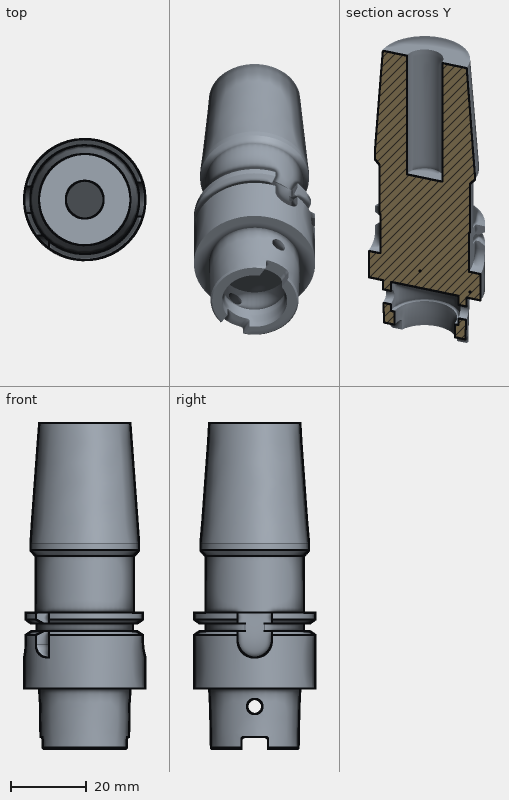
import cadquery as cq

total_height = 86.0
overshoot = 0.9

shank_end_radius = 11.6
shank_top_radius = 12.0
shank_chamfer = 0.4
body_radius = 16.0
body_bottom = 16.0
body_edge = 30.1
groove_bottom = 31.1
groove_top = 33.1
rim_edge = 34.2
rim_top = 36.0
neck_radius = 13.0
neck_top = 50.9
head_radius = 14.4
head_band_bottom = 52.5
head_band_top = 54.2
nose_radius = 12.0
groove_lip_inset = 1.55
groove_lip_radius = body_radius - groove_lip_inset

tool_bore_diameter = 10.0
tool_bore_depth = 36.1
socket_radius = 8.6
socket_depth = body_bottom
undercut_radius = 9.6
undercut_bottom = 7.3
cross_hole_diameter = 3.95
cross_hole_height = 11.3

key_width = 7.0
wide_key_width = 9.0
key_bottom = 24.2
key_floor = 12.7
corner_notch_floor = 9.5
drive_slot_height = 3.2
drive_slot_fillet = 0.7


def turned_body():
    """Revolved outline: shank, grooved flange, neck and tapered nose."""
    outline = [
        (0, 0),
        (shank_end_radius - shank_chamfer, 0),
        (shank_end_radius, shank_chamfer),
        (shank_top_radius, body_bottom),
        (body_radius, body_bottom),
        (body_radius, body_edge),
        (groove_lip_radius, groove_bottom),
        (neck_radius, groove_bottom),
        (neck_radius, groove_top),
        (groove_lip_radius, groove_top),
        (body_radius, rim_edge),
        (body_radius, rim_top),
        (neck_radius, rim_top),
        (neck_radius, neck_top),
        (head_radius, head_band_bottom),
        (head_radius, head_band_top),
        (nose_radius, total_height),
        (0, total_height),
    ]
    return cq.Workplane("XZ").polyline(outline).close().revolve(360, (0, 0), (0, 1))


def keyway(side, width, center_y, floor):
    """Round-ended slot, open at the rim top, cut in from the -X (-1) or +X (+1) side."""
    radius = width / 2
    arc_center = key_bottom + radius
    return (
        cq.Workplane("YZ", origin=(side * floor, center_y, 0))
        .moveTo(-radius, rim_top)
        .lineTo(-radius, arc_center)
        .threePointArc((0, key_bottom), (radius, arc_center))
        .lineTo(radius, rim_top)
        .close()
        .extrude(side * (body_radius + overshoot - floor))
    )


def tool_bore():
    """Blind bore from the nose."""
    return (
        cq.Workplane("XY", origin=(0, 0, total_height))
        .circle(tool_bore_diameter / 2)
        .extrude(-tool_bore_depth)
    )


def shank_socket():
    """Hollow inside of the shank, widened by an undercut behind its mouth."""
    mouth = cq.Workplane("XY").circle(socket_radius).extrude(socket_depth)
    undercut = (
        cq.Workplane("XY", origin=(0, 0, undercut_bottom))
        .circle(undercut_radius)
        .extrude(socket_depth - undercut_bottom)
    )
    return mouth.union(undercut)


def cross_hole():
    """Hole through both shank walls along X."""
    return (
        cq.Workplane("YZ")
        .center(0, cross_hole_height)
        .circle(cross_hole_diameter / 2)
        .extrude(body_radius, both=True)
    )


def drive_slot():
    """Slot across the shank end along X, with rounded upper corners."""
    return (
        cq.Workplane("XY", origin=(0, 0, -overshoot))
        .box(2 * body_radius, key_width, drive_slot_height + overshoot, centered=(True, True, False))
        .edges("|X and >Z")
        .fillet(drive_slot_fillet)
    )


corner_notch_y = -(corner_notch_floor + key_width / 2)

cutters = [
    keyway(-1, key_width, 0, key_floor),
    keyway(1, wide_key_width, 0, key_floor),
    keyway(-1, key_width, corner_notch_y, corner_notch_floor),
    tool_bore(),
    shank_socket(),
    cross_hole(),
    drive_slot(),
]

result = turned_body()
for cutter in cutters:
    result = result.cut(cutter)